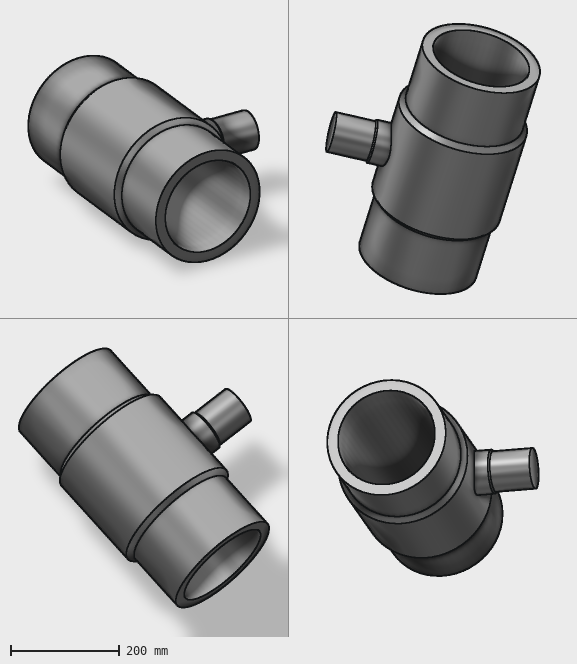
import cadquery as cq

pipe_length = 451.0
pipe_diameter = 225.0
bore_diameter = 184.0

sleeve_diameter = 245.5
sleeve_length = 211.0
sleeve_chamfer = (sleeve_diameter - pipe_diameter) / 2

branch_diameter = 75.8
branch_reach = 226.0
collar_diameter = 82.0
collar_reach = 151.0
collar_chamfer = (collar_diameter - branch_diameter) / 2


def cylinder_along_x(diameter, length):
    """Cylinder on the X axis, centred on the origin."""
    return cq.Workplane("YZ").circle(diameter / 2).extrude(length / 2, both=True)


def cylinder_along_y(diameter, reach):
    """Cylinder on the Y axis, from the origin towards +Y."""
    return cq.Workplane("XZ").circle(diameter / 2).extrude(-reach)


pipe = cylinder_along_x(pipe_diameter, pipe_length)
sleeve = cylinder_along_x(sleeve_diameter, sleeve_length).edges().chamfer(sleeve_chamfer)

branch = cylinder_along_y(branch_diameter, branch_reach)
collar = cylinder_along_y(collar_diameter, collar_reach).faces(">Y").edges().chamfer(collar_chamfer)

bore = cylinder_along_x(bore_diameter, pipe_length)
result = pipe.union(sleeve).union(collar).union(branch).cut(bore)